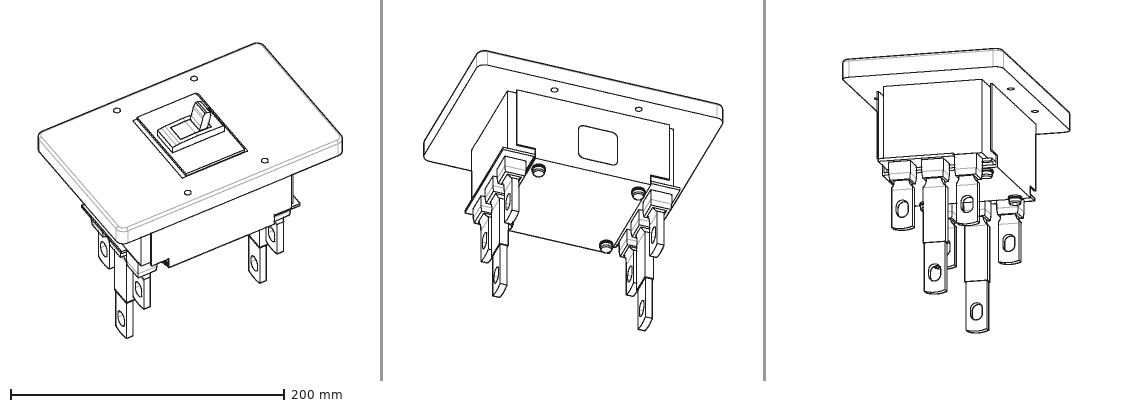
import cadquery as cq


OVERALL_H = 195.8

PLATE_X = 122.0
PLATE_Y = 192.0
PLATE_T = 14.3
PLATE_CORNER_R = 6.3
PLATE_EDGE_R = 2.0
WINDOW_X = 70.7
WINDOW_Y = 55.8
PLATE_HOLE_D = 4.9
PLATE_HOLE_X = 50.5
PLATE_HOLE_Y = 32.9

BREAKER_Y = 0.5
HOUSING_X = 74.8
HOUSING_Y = 129.6
HOUSING_H = 55.6
ESCUTCHEON_X = 69.7
ESCUTCHEON_Y = 50.1
ESCUTCHEON_H = 2.2
ESCUTCHEON_TOP = PLATE_T + ESCUTCHEON_H
TOGGLE_BASE_X = 21.3
TOGGLE_BASE_HALF_Y = 22.1
ROOF_H = 6.9
BACK_EDGE_H = 5.5
BACK_BREAK_H = 6.0
UPPER_BREAK_H = 6.3
LOWER_BREAK_H = 5.9
FRONT_EDGE_H = 5.3
BACK_BREAK_Y = 1.0
UPPER_BREAK_Y = 6.3
LOWER_BREAK_Y = 3.3
SLOT_X = 14.5
SLOT_Y = 26.0
SLOT_DEPTH = 0.2
HANDLE_X = 13.5
HANDLE_TOP = 38.4
HANDLE_FOOT_FRONT = (4.1, 23.5)
HANDLE_HOLLOW_BOTTOM = (4.7, 27.2)
HANDLE_HOLLOW_MIDDLE = (5.9, 30.5)
HANDLE_HOLLOW_TOP = (6.5, 34.0)
HANDLE_FACET = (7.0, 35.6)
HANDLE_TOP_FRONT_Y = 8.6
HANDLE_TOP_BACK_Y = 10.2
HANDLE_BACK_CORNER = (13.0, 37.4)
HANDLE_BACK = (13.5, 33.9)
HANDLE_FOOT_BACK = (10.5, 23.0)

FLANGE_X = 80.5
FLANGE_Y = 138.2
FLANGE_T = 2.2
FLANGE_BOTTOM = -HOUSING_H - FLANGE_T
PAD_T = 2.2
BLOCK_X = 16.5
BLOCK_PITCH = 25.0
BLOCK_INNER_Y = 48.7
BLOCK_OUTER_Y = 65.2
BLOCK_BOTTOM = -71.5
BLOCK_TAPER_H = 4.7
BLOCK_TAPER = 0.5

BRACKET_X = 87.3
BRACKET_T = 1.2
BRACKET_TOP = -2.2
BRACKET_SIDE_Y = 119.5
BRACKET_SHOULDER = -52.9
BRACKET_TAB_Y = 90.0
BRACKET_FLOOR_TOP = FLANGE_BOTTOM - PAD_T
BRACKET_FLOOR_T = 2.0
BRACKET_BOTTOM = BRACKET_FLOOR_TOP - BRACKET_FLOOR_T
PANEL_SIZE = 30.3
PANEL_R = 4.3
PANEL_Y = -3.1
PANEL_Z = -36.5
PANEL_DEPTH = 0.2
SCREW_X = 33.7
SCREW_Y = 39.0
LOCK_WASHER_D = 9.4
LOCK_WASHER_T = 1.2
WASHER_D = 10.2
WASHER_T = 0.8
SCREW_HEAD_D = 8.8
SCREW_HEAD_H = 3.5
SCREW_HEAD_CHAMFER_H = 1.2
SCREW_HEAD_CHAMFER_R = 0.5

TERMINAL_PITCH = 24.7
TERMINAL_Y = 56.8
NECK_X = 11.4
NECK_Y = 11.0
NECK_H = 6.3
NECK_BOTTOM = BLOCK_BOTTOM - NECK_H
BLADE_X = 15.9
BLADE_T = 5.5
TIP_SAGITTA = 1.4
EYE_X = 9.0
EYE_Z = 13.0
EYE_FROM_TIP = 15.0
SIDE_SHOULDER_H = 4.3
CENTER_SHOULDER_H = 5.9
SIDE_TIP = -107.3
SLEEVE_X = 17.2
SLEEVE_T = 6.9
SLEEVE_BOTTOM = -119.5
CENTER_TIP = HANDLE_TOP - OVERALL_H


def box(size_x, size_y, bottom, top, x=0.0, y=0.0):
    """Upright box between two heights, centred at (x, y)."""
    return cq.Workplane("XY", origin=(x, y, bottom)).rect(size_x, size_y).extrude(top - bottom)


def across_x(outline, width):
    """Extrude a closed (y, z) outline symmetrically about X = 0."""
    return cq.Workplane("YZ").polyline(outline).close().extrude(width / 2, both=True)


def make_plate():
    plate = box(PLATE_X, PLATE_Y, 0, PLATE_T)
    plate = plate.edges("|Z").fillet(PLATE_CORNER_R)
    plate = plate.faces(">Z").edges().fillet(PLATE_EDGE_R)
    window = box(WINDOW_X, WINDOW_Y, 0, PLATE_T)
    holes = (
        cq.Workplane("XY")
        .center(0, BREAKER_Y)
        .rect(2 * PLATE_HOLE_X, 2 * PLATE_HOLE_Y, forConstruction=True)
        .vertices()
        .circle(PLATE_HOLE_D / 2)
        .extrude(PLATE_T)
    )
    return plate.cut(window).cut(holes)


def make_toggle_base():
    """Low ridged block with a shallow slot that follows its roof."""
    back = BREAKER_Y + TOGGLE_BASE_HALF_Y
    front = BREAKER_Y - TOGGLE_BASE_HALF_Y
    outline = [
        (front, ESCUTCHEON_TOP),
        (back, ESCUTCHEON_TOP),
        (back, ESCUTCHEON_TOP + BACK_EDGE_H),
        (back - BACK_BREAK_Y, ESCUTCHEON_TOP + BACK_BREAK_H),
        (0, ESCUTCHEON_TOP + ROOF_H),
        (front + UPPER_BREAK_Y, ESCUTCHEON_TOP + UPPER_BREAK_H),
        (front + LOWER_BREAK_Y, ESCUTCHEON_TOP + LOWER_BREAK_H),
        (front, ESCUTCHEON_TOP + FRONT_EDGE_H),
    ]
    base = across_x(outline, TOGGLE_BASE_X)
    slot_floor = base.translate((0, 0, -SLOT_DEPTH))
    slot = box(SLOT_X, SLOT_Y, ESCUTCHEON_TOP, ESCUTCHEON_TOP + ROOF_H, y=BREAKER_Y).cut(slot_floor)
    return base.cut(slot)


def make_handle():
    """Lever leaning toward +Y: hollowed front, with facets above and behind it."""
    return (
        cq.Workplane("YZ")
        .moveTo(HANDLE_FOOT_FRONT[0], ESCUTCHEON_TOP)
        .lineTo(*HANDLE_FOOT_FRONT)
        .lineTo(*HANDLE_HOLLOW_BOTTOM)
        .threePointArc(HANDLE_HOLLOW_MIDDLE, HANDLE_HOLLOW_TOP)
        .lineTo(*HANDLE_FACET)
        .lineTo(HANDLE_TOP_FRONT_Y, HANDLE_TOP)
        .lineTo(HANDLE_TOP_BACK_Y, HANDLE_TOP)
        .lineTo(*HANDLE_BACK_CORNER)
        .lineTo(*HANDLE_BACK)
        .lineTo(*HANDLE_FOOT_BACK)
        .lineTo(HANDLE_FOOT_BACK[0], ESCUTCHEON_TOP)
        .close()
        .extrude(HANDLE_X / 2, both=True)
    )


def make_block(x, end, top):
    """Block that a terminal hangs from; its lowest part tapers in."""
    size_y = BLOCK_OUTER_Y - BLOCK_INNER_Y
    y = BREAKER_Y + end * (BLOCK_OUTER_Y + BLOCK_INNER_Y) / 2
    taper_top = BLOCK_BOTTOM + BLOCK_TAPER_H
    upper = box(BLOCK_X, size_y, taper_top, top, x, y)
    lower = (
        cq.Workplane("XY", origin=(x, y, taper_top))
        .rect(BLOCK_X, size_y)
        .workplane(offset=-BLOCK_TAPER_H)
        .rect(BLOCK_X - 2 * BLOCK_TAPER, size_y - 2 * BLOCK_TAPER)
        .loft(ruled=True)
    )
    return upper.union(lower)


def make_flange():
    """Thin flange under the housing, without its +X -Y corner, and the pad for the bracket."""
    flange = box(FLANGE_X, FLANGE_Y, FLANGE_BOTTOM, -HOUSING_H, y=BREAKER_Y)
    corner_x = BLOCK_PITCH - BLOCK_X / 2
    corner = cq.Workplane("XY").box(FLANGE_X, FLANGE_Y, HOUSING_H, centered=False)
    corner = corner.translate((corner_x, BREAKER_Y - BLOCK_INNER_Y - FLANGE_Y, FLANGE_BOTTOM))
    pad = box(FLANGE_X, BRACKET_TAB_Y, BRACKET_FLOOR_TOP, FLANGE_BOTTOM, y=BREAKER_Y)
    return flange.cut(corner).union(pad)


def make_breaker():
    breaker = box(HOUSING_X, HOUSING_Y, -HOUSING_H, 0, y=BREAKER_Y)
    breaker = breaker.union(box(WINDOW_X, WINDOW_Y, 0, PLATE_T))
    breaker = breaker.union(box(ESCUTCHEON_X, ESCUTCHEON_Y, PLATE_T, ESCUTCHEON_TOP, y=BREAKER_Y))
    breaker = breaker.union(make_toggle_base()).union(make_handle()).union(make_flange())
    for end in (-1, 1):
        for column in (-1, 0, 1):
            in_open_corner = column == 1 and end == -1
            top = -HOUSING_H if in_open_corner else FLANGE_BOTTOM
            breaker = breaker.union(make_block(column * BLOCK_PITCH, end, top))
    return breaker


def disc(diameter, top, thickness, x, y):
    """Round disc hanging down from a height."""
    return cq.Workplane("XY", origin=(x, y, top)).circle(diameter / 2).extrude(-thickness)


def make_screw_head(x, y):
    """Lock washer, flat washer and chamfered head, stacked downwards under the floor."""
    washer_top = BRACKET_BOTTOM - LOCK_WASHER_T
    head_top = washer_top - WASHER_T
    head = disc(SCREW_HEAD_D, head_top, SCREW_HEAD_H, x, y)
    head = head.faces("<Z").chamfer(SCREW_HEAD_CHAMFER_H, SCREW_HEAD_CHAMFER_R)
    lock_washer = disc(LOCK_WASHER_D, BRACKET_BOTTOM, LOCK_WASHER_T, x, y)
    return lock_washer.union(disc(WASHER_D, washer_top, WASHER_T, x, y)).union(head)


def make_bracket():
    """U-shaped bracket; its walls narrow to tabs that the floor joins."""
    half_side = BRACKET_SIDE_Y / 2
    half_tab = BRACKET_TAB_Y / 2
    wall_outline = [
        (BREAKER_Y - half_side, BRACKET_TOP),
        (BREAKER_Y + half_side, BRACKET_TOP),
        (BREAKER_Y + half_side, BRACKET_SHOULDER),
        (BREAKER_Y + half_tab, BRACKET_SHOULDER),
        (BREAKER_Y + half_tab, BRACKET_BOTTOM),
        (BREAKER_Y - half_tab, BRACKET_BOTTOM),
        (BREAKER_Y - half_tab, BRACKET_SHOULDER),
        (BREAKER_Y - half_side, BRACKET_SHOULDER),
    ]
    inside = box(BRACKET_X - 2 * BRACKET_T, 2 * BRACKET_SIDE_Y, BRACKET_FLOOR_TOP, 0)
    bracket = across_x(wall_outline, BRACKET_X).cut(inside)
    panel = (
        cq.Workplane("YZ", origin=(-BRACKET_X / 2, PANEL_Y, PANEL_Z))
        .rect(PANEL_SIZE, PANEL_SIZE)
        .extrude(PANEL_DEPTH)
        .edges("|X")
        .fillet(PANEL_R)
    )
    bracket = bracket.cut(panel)
    for x in (-SCREW_X, SCREW_X):
        for y in (BREAKER_Y - SCREW_Y, BREAKER_Y + SCREW_Y):
            bracket = bracket.union(make_screw_head(x, y))
    return bracket


def tangent_arc_radius(run_in, height):
    """Radius of an arc that starts vertical and moves sideways by run_in over a height."""
    return (run_in**2 + height**2) / (2 * run_in)


def make_neck(width, thickness, shoulder_h):
    """Neck that flares out along X to its shoulders while it thins along Y, both in concave arcs."""
    shoulder = BLOCK_BOTTOM - shoulder_h
    flare_r = tangent_arc_radius((width - NECK_X) / 2, shoulder_h)
    flared = (
        cq.Workplane("XZ")
        .moveTo(-NECK_X / 2, BLOCK_BOTTOM)
        .lineTo(NECK_X / 2, BLOCK_BOTTOM)
        .radiusArc((width / 2, shoulder), -flare_r)
        .lineTo(width / 2, NECK_BOTTOM)
        .lineTo(-width / 2, NECK_BOTTOM)
        .lineTo(-width / 2, shoulder)
        .radiusArc((-NECK_X / 2, BLOCK_BOTTOM), -flare_r)
        .close()
        .extrude(NECK_Y / 2, both=True)
    )
    thin_r = tangent_arc_radius((NECK_Y - thickness) / 2, NECK_H)
    thinned = (
        cq.Workplane("YZ")
        .moveTo(-NECK_Y / 2, BLOCK_BOTTOM)
        .lineTo(NECK_Y / 2, BLOCK_BOTTOM)
        .radiusArc((thickness / 2, NECK_BOTTOM), -thin_r)
        .lineTo(-thickness / 2, NECK_BOTTOM)
        .radiusArc((-NECK_Y / 2, BLOCK_BOTTOM), -thin_r)
        .close()
        .extrude(width / 2, both=True)
    )
    return flared.intersect(thinned)


def make_blade(top, tip):
    """Flat bar with an arched tip and an oblong eye."""
    corner = tip + TIP_SAGITTA
    blade = (
        cq.Workplane("XZ")
        .moveTo(-BLADE_X / 2, top)
        .lineTo(BLADE_X / 2, top)
        .lineTo(BLADE_X / 2, corner)
        .threePointArc((0, tip), (-BLADE_X / 2, corner))
        .close()
        .extrude(BLADE_T / 2, both=True)
    )
    eye = (
        cq.Workplane("XZ", origin=(0, 0, tip + EYE_FROM_TIP))
        .slot2D(EYE_Z, EYE_X, 90)
        .extrude(BLADE_T / 2, both=True)
    )
    return blade.cut(eye)


def make_side_terminal():
    neck = make_neck(BLADE_X, BLADE_T, SIDE_SHOULDER_H)
    return neck.union(make_blade(NECK_BOTTOM, SIDE_TIP))


def make_center_terminal():
    """Longer terminal whose upper length is a thicker sleeve."""
    neck = make_neck(SLEEVE_X, SLEEVE_T, CENTER_SHOULDER_H)
    sleeve = box(SLEEVE_X, SLEEVE_T, SLEEVE_BOTTOM, NECK_BOTTOM)
    return neck.union(sleeve).union(make_blade(SLEEVE_BOTTOM, CENTER_TIP))


plate = make_plate()
breaker = make_breaker()
bracket = make_bracket()

side_terminals = []
center_terminals = []
for end in (-1, 1):
    y = BREAKER_Y + end * TERMINAL_Y
    center_terminals.append(make_center_terminal().translate((0, y, 0)).val())
    for x in (-TERMINAL_PITCH, TERMINAL_PITCH):
        side_terminals.append(make_side_terminal().translate((x, y, 0)).val())

result = cq.Compound.makeCompound(
    [plate.val(), breaker.val(), bracket.val(), *side_terminals, *center_terminals]
)